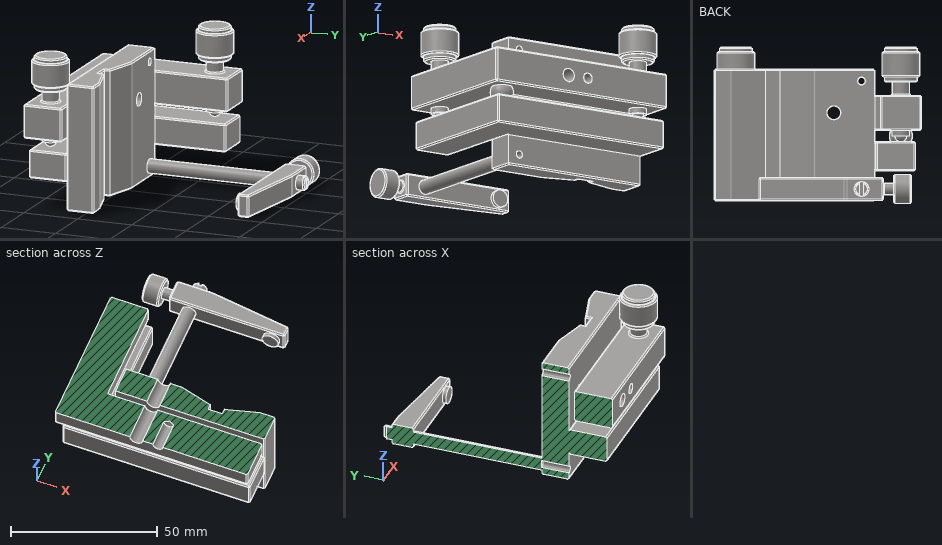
import cadquery as cq
import math


EDGE_BREAK = 0.5
OVERLAP = 0.1

PLATE_LENGTH_X = 71.0
PLATE_LENGTH_Y = 52.0
UPPER_LEG_WIDTH = 14.0
LOWER_SETBACK = 2.0
LOWER_FRONT_LEG_WIDTH = 13.95
LOWER_SIDE_LEG_WIDTH = 13.6
LOWER_THICKNESS = 10.0
LOWER_BOTTOM_Z = 11.25
LOWER_TOP_Z = LOWER_BOTTOM_Z + LOWER_THICKNESS
PLATE_GAP = 3.9
UPPER_THICKNESS = 12.0
UPPER_BOTTOM_Z = LOWER_TOP_Z + PLATE_GAP
UPPER_TOP_Z = UPPER_BOTTOM_Z + UPPER_THICKNESS
UPPER_MIDDLE_Z = UPPER_BOTTOM_Z + UPPER_THICKNESS / 2

SIGHT_HOLE_DIAMETER = 4.6
SIGHT_HOLE_X = 30.0
BLIND_HOLE_DIAMETER = 3.5
BLIND_HOLE_X = 38.0
BLIND_HOLE_DEPTH = 10.1
DRILL_CONE_DEPTH = 1.0

PIVOT_XY = UPPER_LEG_WIDTH / 2
BALL_DIAMETER = 8.0
SCREW_POSITIONS = [(PIVOT_XY, 44.5), (63.5, PIVOT_XY)]
SCREW_DIAMETER = 6.0
SCREW_TIP_DIAMETER = 4.0
KNOB_TOP_Z = 53.6
KNOB_DIAMETER = 13.0
KNOB_STEP_DIAMETER = 11.25
KNOB_CAP_HEIGHT = 1.5
KNOB_BODY_HEIGHT = 8.7
KNOB_COLLAR_HEIGHT = 1.8

JAW_LEFT_X = 16.0
JAW_FRONT_Y = LOWER_SETBACK + LOWER_FRONT_LEG_WIDTH
JAW_THICKNESS = 10.0
JAW_BACK_Y = JAW_FRONT_Y + JAW_THICKNESS
JAW_BOTTOM_Z = 1.0
JAW_HEIGHT = 45.0
VEE_X = 50.9
VEE_WIDTH = 28.7
VEE_DEPTH = 3.3
VEE_SLOT_WIDTH = 5.0
VEE_SLOT_DEPTH = 5.2
JAW_HOLE_DIAMETER = 2.5
JAW_HOLE_INSET = 4.0

POST_INSET = 4.5
POST_X = JAW_LEFT_X + POST_INSET
POST_Z = JAW_BOTTOM_Z + JAW_HOLE_INSET
POST_DIAMETER = 5.0
POST_TIP_Y = 84.0
POST_SLOT_WIDTH = 1.3
POST_SLOT_DEPTH = 1.0
ARM_LEFT_X = 13.0
ARM_RIGHT_X = 55.6
ARM_FRONT_Y = 73.0
ARM_WIDTH = 8.0
ARM_BACK_Y = ARM_FRONT_Y + ARM_WIDTH
ARM_TIP_WIDTH = 4.0
ARM_TAPER_START_X = 26.0
PAD_DIAMETER = 6.0
PAD_HEIGHT = 1.35

THUMB_SCREW_DIAMETER = 4.0
THUMB_SCREW_Y = ARM_FRONT_Y + ARM_WIDTH / 2
THUMB_KNOB_DIAMETER = 2 * POST_Z
THUMB_KNOB_LEFT_X = 3.45
THUMB_KNOB_LENGTH = 6.05
THUMB_COLLAR_HEIGHT = 0.3


def cylinder_along_y(diameter, x, z, start_y, end_y):
    circle = cq.Workplane("XZ", origin=(x, start_y, z)).circle(diameter / 2)
    return circle.extrude(start_y - end_y)


def l_plate(left, front, side_leg_inner, front_leg_inner, bottom, thickness):
    """L-shaped plate with every edge broken except the one in the inside corner."""
    outline = [
        (left, front),
        (PLATE_LENGTH_X, front),
        (PLATE_LENGTH_X, front_leg_inner),
        (side_leg_inner, front_leg_inner),
        (side_leg_inner, PLATE_LENGTH_Y),
        (left, PLATE_LENGTH_Y),
    ]
    plate = cq.Workplane("XY", origin=(0, 0, bottom)).polyline(outline).close().extrude(thickness)
    inside_corner = (side_leg_inner, front_leg_inner, bottom + thickness / 2)
    all_but_inside_corner = -cq.selectors.NearestToPointSelector(inside_corner)
    return plate.edges(all_but_inside_corner).chamfer(EDGE_BREAK)


def upper_plate():
    plate = l_plate(0, 0, UPPER_LEG_WIDTH, UPPER_LEG_WIDTH, UPPER_BOTTOM_Z, UPPER_THICKNESS)
    blind_profile = [
        (0, 0),
        (BLIND_HOLE_DIAMETER / 2, 0),
        (BLIND_HOLE_DIAMETER / 2, BLIND_HOLE_DEPTH),
        (0, BLIND_HOLE_DEPTH + DRILL_CONE_DEPTH),
    ]
    blind_hole = (
        cq.Workplane("XY", origin=(BLIND_HOLE_X, 0, UPPER_MIDDLE_Z))
        .polyline(blind_profile)
        .close()
        .revolve(360, (0, 0), (0, 1))
    )
    return plate.cut(blind_hole)


def lower_plate():
    side_leg_inner = LOWER_SETBACK + LOWER_SIDE_LEG_WIDTH
    front_leg_inner = LOWER_SETBACK + LOWER_FRONT_LEG_WIDTH
    return l_plate(
        LOWER_SETBACK, LOWER_SETBACK, side_leg_inner, front_leg_inner, LOWER_BOTTOM_Z, LOWER_THICKNESS
    )


def pivot_ball():
    """Ball held between the two plates at their common corner."""
    middle_z = (LOWER_TOP_Z + UPPER_BOTTOM_Z) / 2
    return cq.Workplane("XY").sphere(BALL_DIAMETER / 2).translate((PIVOT_XY, PIVOT_XY, middle_z))


def adjuster_screw(x, y):
    """Turned screw: round tip on the lower plate, shank through the upper plate, stepped knob."""
    shank = SCREW_DIAMETER / 2
    tip = SCREW_TIP_DIAMETER / 2
    step = KNOB_STEP_DIAMETER / 2
    body = KNOB_DIAMETER / 2
    tip_z = LOWER_TOP_Z - OVERLAP
    body_top_z = KNOB_TOP_Z - KNOB_CAP_HEIGHT
    body_bottom_z = body_top_z - KNOB_BODY_HEIGHT
    collar_bottom_z = body_bottom_z - KNOB_COLLAR_HEIGHT
    diagonal = tip * math.sqrt(2) / 2
    arc_middle = (diagonal, tip_z + tip - diagonal)
    profile = (
        cq.Workplane("XZ", origin=(x, y, 0))
        .moveTo(0, tip_z)
        .threePointArc(arc_middle, (tip, tip_z + tip))
        .lineTo(shank, tip_z + tip)
        .lineTo(shank, UPPER_TOP_Z - EDGE_BREAK)
        .lineTo(shank + EDGE_BREAK, UPPER_TOP_Z - EDGE_BREAK)
        .lineTo(shank + EDGE_BREAK, UPPER_TOP_Z)
        .lineTo(shank, UPPER_TOP_Z + EDGE_BREAK)
        .lineTo(shank, collar_bottom_z)
        .lineTo(step - EDGE_BREAK, collar_bottom_z)
        .lineTo(step, collar_bottom_z + EDGE_BREAK)
        .lineTo(step, body_bottom_z)
        .lineTo(body - EDGE_BREAK, body_bottom_z)
        .lineTo(body, body_bottom_z + EDGE_BREAK)
        .lineTo(body, body_top_z - EDGE_BREAK)
        .lineTo(body - EDGE_BREAK, body_top_z)
        .lineTo(step, body_top_z)
        .lineTo(step, KNOB_TOP_Z - EDGE_BREAK)
        .lineTo(step - EDGE_BREAK, KNOB_TOP_Z)
        .lineTo(0, KNOB_TOP_Z)
        .close()
    )
    return profile.revolve(360, (0, 0), (0, 1))


def vee_jaw():
    """Upright block whose back face has a vee with a square slot at its bottom."""
    vee_y = JAW_BACK_Y - VEE_DEPTH
    slot_y = JAW_BACK_Y - VEE_SLOT_DEPTH
    outline = [
        (JAW_LEFT_X, JAW_FRONT_Y),
        (PLATE_LENGTH_X, JAW_FRONT_Y),
        (PLATE_LENGTH_X, JAW_BACK_Y),
        (VEE_X + VEE_WIDTH / 2, JAW_BACK_Y),
        (VEE_X + VEE_SLOT_WIDTH / 2, vee_y),
        (VEE_X + VEE_SLOT_WIDTH / 2, slot_y),
        (VEE_X - VEE_SLOT_WIDTH / 2, slot_y),
        (VEE_X - VEE_SLOT_WIDTH / 2, vee_y),
        (VEE_X - VEE_WIDTH / 2, JAW_BACK_Y),
        (JAW_LEFT_X, JAW_BACK_Y),
    ]
    jaw = cq.Workplane("XY", origin=(0, 0, JAW_BOTTOM_Z)).polyline(outline).close().extrude(JAW_HEIGHT)
    jaw = jaw.faces(">X").edges("|Z").chamfer(EDGE_BREAK)
    jaw = jaw.faces(">Z or <Z").edges().chamfer(EDGE_BREAK)
    for z in (POST_Z, JAW_BOTTOM_Z + JAW_HEIGHT - JAW_HOLE_INSET):
        jaw = jaw.cut(cylinder_along_y(JAW_HOLE_DIAMETER, POST_X, z, JAW_FRONT_Y, JAW_BACK_Y))
    return jaw


def post():
    """Round post standing on the back of the jaw, with a screwdriver slot in its tip."""
    rod = cylinder_along_y(POST_DIAMETER, POST_X, POST_Z, JAW_BACK_Y, POST_TIP_Y)
    rod = rod.faces(">Y").chamfer(EDGE_BREAK)
    slot = cq.Workplane("XY").box(POST_SLOT_WIDTH, 2 * POST_SLOT_DEPTH, POST_DIAMETER)
    return rod.cut(slot.translate((POST_X, POST_TIP_Y, POST_Z)))


def clamp_arm():
    """Tapered arm with a round pad facing the vee."""
    outline = [
        (ARM_LEFT_X, ARM_FRONT_Y),
        (ARM_RIGHT_X, ARM_FRONT_Y),
        (ARM_RIGHT_X, ARM_FRONT_Y + ARM_TIP_WIDTH),
        (ARM_TAPER_START_X, ARM_BACK_Y),
        (ARM_LEFT_X, ARM_BACK_Y),
    ]
    bottom_z = POST_Z - ARM_WIDTH / 2
    arm = cq.Workplane("XY", origin=(0, 0, bottom_z)).polyline(outline).close().extrude(ARM_WIDTH)
    arm = arm.edges().chamfer(EDGE_BREAK)
    return arm.union(cylinder_along_y(PAD_DIAMETER, VEE_X, POST_Z, ARM_FRONT_Y - PAD_HEIGHT, ARM_FRONT_Y))


def thumb_screw():
    """Screw with a round knob on the left end of the clamp arm."""
    knob = (
        cq.Workplane("YZ", origin=(THUMB_KNOB_LEFT_X, THUMB_SCREW_Y, POST_Z))
        .circle(THUMB_KNOB_DIAMETER / 2)
        .extrude(THUMB_KNOB_LENGTH)
        .edges()
        .chamfer(EDGE_BREAK)
    )
    shank_start_x = THUMB_KNOB_LEFT_X + THUMB_KNOB_LENGTH
    shank = (
        cq.Workplane("YZ", origin=(shank_start_x, THUMB_SCREW_Y, POST_Z))
        .circle(THUMB_SCREW_DIAMETER / 2)
        .extrude(ARM_LEFT_X - shank_start_x)
    )
    collar = (
        cq.Workplane("YZ", origin=(ARM_LEFT_X, THUMB_SCREW_Y, POST_Z))
        .circle(THUMB_SCREW_DIAMETER / 2 + THUMB_COLLAR_HEIGHT)
        .extrude(-THUMB_COLLAR_HEIGHT, taper=45)
    )
    return knob.union(shank).union(collar)


result = upper_plate().union(lower_plate()).union(pivot_ball())
for screw_x, screw_y in SCREW_POSITIONS:
    result = result.union(adjuster_screw(screw_x, screw_y))
for piece in (vee_jaw(), post(), clamp_arm(), thumb_screw()):
    result = result.union(piece)

result = result.cut(cylinder_along_y(SIGHT_HOLE_DIAMETER, SIGHT_HOLE_X, UPPER_MIDDLE_Z, 0, JAW_BACK_Y))